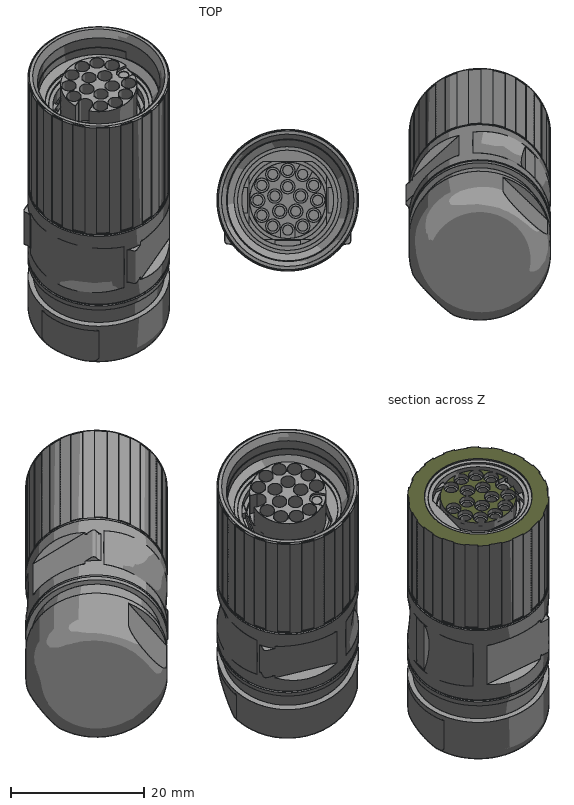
import cadquery as cq
import math


height = 52.3
outer_diameter = 21.3
outer_radius = outer_diameter / 2

nut_round = 3.0
nut_top = 9.4
neck_radius = 9.85
collar_bottom = 12.9
collar_top = 13.75
body_chamfer_top = 14.15
collar_groove_depth = 0.25
body_top = 28.75
sleeve_chamfer_top = 29.2
sleeve_groove_depth = 0.25
rim_chamfer = 0.2

wrench_size = 19.0
wrench_flat_top = 8.4

panel_count = 18
panel_angle = 10.4
panel_depth = 0.15
panel_bottom = 29.35
panel_top = 52.1

recess_mid_z = 21.45
scoop_depth = 0.95
scoop_mid_half_height = 4.95
scoop_end_half_height = 4.4
front_scoop_half_width = 7.85
rear_scoop_half_width = 8.3
scoop_end_depth = 0.08
rear_rib_width = 2.1
rear_rib_inset = 0.08
side_flat_offset = 9.45
side_flat_height = 8.1
side_flat_wall_run = 0.6
tab_height = 7.0
tab_corner_y = -6.6
tab_corner_round = 0.45
tab_hollow_start_x = 8.8
tab_hollow_depth = 0.1
tab_root_x = 7.85
tab_root_y = -7.1

bore_mouth_radius = 9.95
bore_lip_radius = 9.5
bore_lip_depth = 0.65
bore_radius = 9.2
bore_radius_depth = 1.15
bore_step_radius = 9.1
bore_step_depth = 3.15
cone_depth = 4.6
cone_end_radius = 8.05
cone_end_depth = 5.55
shelf_depth = 5.9
shelf_radius = 7.55
seat_depth = 6.2

well_radius = 6.9
well_half_width = 5.85
well_depth = 8.35
well_ledge_depth = 7.0
well_step_depth = 7.55
well_inner_radius = 6.3
latch_slot_width = 3.75
latch_slot_inner = 6.05
latch_slot_outer = 6.9

insert_diameter = 11.45
insert_radius = insert_diameter / 2
insert_depth = 1.7
contact_diameter = 2.15
contact_radius = contact_diameter / 2
contact_depth = 4.7
pin_diameter = 1.5
pin_radius = pin_diameter / 2
pin_depth = 9.4
outer_contact_count = 12
outer_contact_circle = 4.5
inner_contact_count = 5
inner_contact_circle = 2.05
coding_angle = 60
coding_notch_depth = 0.45
coding_mark_depth = 0.1
keyway_width = 2.25


def cylinder(radius, bottom, top):
    return cq.Workplane("XY").workplane(offset=bottom).circle(radius).extrude(top - bottom)


def block(x_size, y_size, bottom, top, x_mid=0.0, y_mid=0.0):
    base = cq.Workplane("XY").workplane(offset=bottom).center(x_mid, y_mid)
    return base.rect(x_size, y_size).extrude(top - bottom)


def polar(radius, angle):
    return (radius * math.cos(math.radians(angle)), radius * math.sin(math.radians(angle)))


def circle_points(radius, count, start_angle):
    return [polar(radius, start_angle + i * 360 / count) for i in range(count)]


def outer_shell():
    """Turned outline: rounded nut, neck, collar, body and sleeve."""
    round_shift = nut_round * math.sqrt(0.5)
    round_mid = (outer_radius - nut_round + round_shift, nut_round - round_shift)
    return (
        cq.Workplane("XZ")
        .moveTo(0, 0)
        .lineTo(outer_radius - nut_round, 0)
        .threePointArc(round_mid, (outer_radius, nut_round))
        .lineTo(outer_radius, nut_top)
        .lineTo(neck_radius, nut_top)
        .lineTo(neck_radius, collar_bottom)
        .lineTo(outer_radius, collar_bottom)
        .lineTo(outer_radius, collar_top)
        .lineTo(outer_radius - collar_groove_depth, collar_top)
        .lineTo(outer_radius, body_chamfer_top)
        .lineTo(outer_radius, body_top)
        .lineTo(outer_radius - sleeve_groove_depth, body_top)
        .lineTo(outer_radius, sleeve_chamfer_top)
        .lineTo(outer_radius, height - rim_chamfer)
        .lineTo(outer_radius - rim_chamfer, height)
        .lineTo(0, height)
        .close()
        .revolve(360, (0, 0, 0), (0, 1, 0))
    )


def wrench_flats():
    """Material outside the two parallel flats of the nut."""
    size = 4 * outer_radius
    slab = block(size, size, -0.5, wrench_flat_top)
    return slab.cut(block(size, wrench_size, -0.5, wrench_flat_top))


def knurl_panels():
    """Shallow panels at every second strip of the sleeve, one of them centred on +X."""
    pitch = 360 / panel_count
    reach = 2 * outer_radius
    ring = cylinder(reach, panel_bottom, panel_top)
    ring = ring.cut(cylinder(outer_radius - panel_depth, panel_bottom, panel_top))
    panels = []
    for i in range(panel_count):
        corners = [(0, 0)]
        corners += [polar(reach, i * pitch + side * panel_angle / 2) for side in (-1, 1)]
        wedge = cq.Workplane("XY").workplane(offset=panel_bottom).polyline(corners).close()
        panels.append(ring.intersect(wedge.extrude(panel_top - panel_bottom)))
    return panels


def scoop(half_width):
    """Finger scoop on the -Y side: an arc in every YZ section, fading to a line at both ends."""
    sections = []
    for position in (-1, -0.5, 0, 0.5, 1):
        fade = 1 - position ** 2
        x = position * half_width
        surface_y = -math.sqrt(outer_radius ** 2 - x ** 2)
        floor_y = surface_y + scoop_end_depth + (scoop_depth - scoop_end_depth) * fade
        rise = scoop_end_half_height + (scoop_mid_half_height - scoop_end_half_height) * fade
        section = (
            cq.Workplane("YZ", origin=(x, 0, recess_mid_z))
            .moveTo(-2 * outer_radius, rise)
            .lineTo(surface_y, rise)
            .threePointArc((floor_y, 0), (surface_y, -rise))
            .lineTo(-2 * outer_radius, -rise)
            .close()
        )
        sections.append(section.val())
    return cq.Workplane(cq.Solid.makeLoft(sections))


def rear_scoop():
    """The scoop on the +Y side, split by an upright rib."""
    rib_reach = outer_radius - rear_rib_inset
    rib = block(rear_rib_width, rib_reach, 0, height, y_mid=rib_reach / 2)
    return scoop(rear_scoop_half_width).rotate((0, 0, 0), (0, 0, 1), 180).cut(rib)


def side_flat():
    """Flat recess on the +X side with slightly sloping upper and lower walls."""
    low = side_flat_height / 2
    high = low + side_flat_wall_run
    outline = [
        (side_flat_offset, -low),
        (outer_radius, -high),
        (outer_radius + 0.5, -high),
        (outer_radius + 0.5, high),
        (outer_radius, high),
        (side_flat_offset, low),
    ]
    section = cq.Workplane("XZ", origin=(0, 0, recess_mid_z)).polyline(outline).close()
    return section.extrude(outer_radius, both=True)


def side_tab():
    """Tab that carries the +X flat past the round body, with a hollow blend to the -Y scoop."""
    hollow_mid = (
        (tab_hollow_start_x + tab_root_x) / 2,
        (tab_corner_y + tab_root_y) / 2 + tab_hollow_depth,
    )
    tab = (
        cq.Workplane("XY", origin=(0, 0, recess_mid_z - tab_height / 2))
        .moveTo(tab_root_x, 0)
        .lineTo(side_flat_offset, 0)
        .lineTo(side_flat_offset, tab_corner_y)
        .lineTo(tab_hollow_start_x, tab_corner_y)
        .threePointArc(hollow_mid, (tab_root_x, tab_root_y))
        .close()
        .extrude(tab_height)
    )
    corner = cq.selectors.NearestToPointSelector((side_flat_offset, tab_corner_y, recess_mid_z))
    return tab.edges("|Z").edges(corner).fillet(tab_corner_round)


def socket_bore():
    """Turned bore, open at the top; the small step is left out in the +X +Y quarter."""
    steps = [
        (bore_mouth_radius, 0),
        (bore_lip_radius, bore_lip_depth),
        (bore_radius, bore_radius_depth),
        (bore_radius, bore_step_depth),
        (bore_step_radius, bore_step_depth),
        (bore_step_radius, cone_depth),
        (cone_end_radius, cone_end_depth),
        (cone_end_radius, shelf_depth),
        (shelf_radius, shelf_depth),
        (shelf_radius, seat_depth),
    ]
    outline = [(0, height)]
    outline += [(radius, height - depth) for radius, depth in steps]
    outline.append((0, height - seat_depth))
    bore = cq.Workplane("XZ").polyline(outline).close().revolve(360, (0, 0, 0), (0, 1, 0))
    plain_height = cone_depth - bore_step_depth
    corner = cq.Workplane("XY", origin=(0, 0, height - cone_depth)).rect(
        bore_radius, bore_radius, centered=False
    ).extrude(plain_height)
    plain_quarter = corner.intersect(cylinder(bore_radius, height - cone_depth, height))
    return bore.union(plain_quarter)


def insert_well():
    """Square-sided well with stepped round corners, ledges and latch slots on three sides."""
    seat = height - seat_depth
    ledge = height - well_ledge_depth
    floor = height - well_depth
    side = 2 * well_half_width
    stepped = cylinder(well_radius, height - well_step_depth, seat)
    stepped = stepped.union(cylinder(well_inner_radius, floor, seat))
    well = stepped.intersect(block(side, side, floor, seat))
    rear_keep = block(
        2 * well_radius, well_radius + well_half_width, ledge, seat,
        y_mid=(well_half_width - well_radius) / 2,
    )
    well = well.union(cylinder(well_radius, ledge, seat).intersect(rear_keep))
    slot = block(
        latch_slot_outer - latch_slot_inner, latch_slot_width, floor, seat,
        x_mid=(latch_slot_inner + latch_slot_outer) / 2,
    ).intersect(cylinder(latch_slot_outer, floor, seat))
    for angle in (0, 180, 270):
        well = well.union(slot.rotate((0, 0, 0), (0, 0, 1), angle))
    return well


def contact_insert():
    """Round insert with stepped contact holes, a coding notch and a keyway on -Y."""
    top = height - insert_depth
    well_floor = height - well_depth
    insert = cylinder(insert_radius, well_floor, top)

    outer_points = circle_points(outer_contact_circle, outer_contact_count, 0)
    coding_point = polar(outer_contact_circle, coding_angle)
    open_points = [p for p in outer_points if math.dist(p, coding_point) > contact_radius]
    open_points += circle_points(inner_contact_circle, inner_contact_count, 90)
    face = cq.Workplane("XY").workplane(offset=top)
    insert = insert.cut(face.pushPoints(open_points).circle(contact_radius).extrude(-contact_depth))

    notch_bottom = top - coding_notch_depth
    notch = cylinder(contact_radius, notch_bottom, top).union(
        block(insert_radius, contact_diameter, notch_bottom, top, x_mid=insert_radius / 2)
    )
    notch = notch.translate((outer_contact_circle, 0, 0)).rotate((0, 0, 0), (0, 0, 1), coding_angle)
    mark = cylinder(pin_radius, notch_bottom - coding_mark_depth, notch_bottom)
    mark = mark.translate((*coding_point, 0))

    keyway_length = insert_radius - outer_contact_circle
    keyway = block(
        keyway_width, keyway_length, top - contact_depth, top,
        y_mid=-(outer_contact_circle + keyway_length / 2),
    )
    return insert.cut(notch).cut(mark).cut(keyway), open_points


def pin_holes(points):
    """Narrow lower part of the contact holes."""
    top = height - insert_depth
    face = cq.Workplane("XY").workplane(offset=top)
    return face.pushPoints(points).circle(pin_radius).extrude(-pin_depth)


shell = outer_shell().cut(wrench_flats())
for panel in knurl_panels():
    shell = shell.cut(panel)
shell = shell.cut(scoop(front_scoop_half_width)).cut(rear_scoop())
right_flat = side_flat()
right_tab = side_tab()
shell = shell.cut(right_flat).cut(right_flat.mirror("YZ"))
shell = shell.union(right_tab).union(right_tab.mirror("YZ"))

insert, contact_points = contact_insert()
shell = shell.cut(socket_bore()).cut(insert_well())
result = shell.union(insert).cut(pin_holes(contact_points))